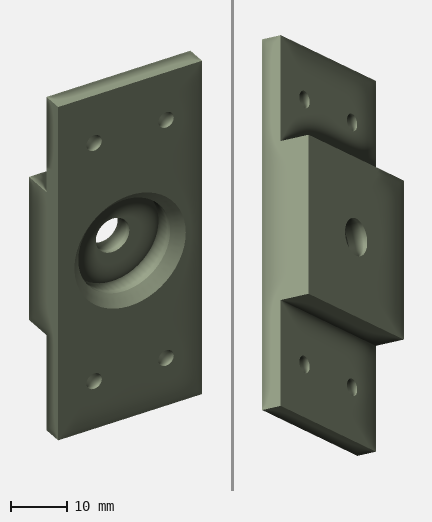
import cadquery as cq

length = 70.0
width = 30.0
total_depth = 10.0
plate_thickness = 4.0

block_size = width
block_depth = total_depth - plate_thickness

bore_diameter = 7.0
screw_hole_diameter = 3.2
screw_spacing_y = width / 2
screw_spacing_z = (length + block_size) / 2

recess_diameter = 19.2
recess_depth = 6.0
recess_chamfer = 2.0

back_x = total_depth / 2


def cylinder_from_back(diameter, depth, y=0, z=0):
    """Cylinder along X that starts at the back face and runs towards -X."""
    return (
        cq.Workplane("YZ", origin=(back_x, y, z))
        .circle(diameter / 2)
        .extrude(-depth)
    )


plate = cq.Workplane("XY").box(plate_thickness, width, length)
plate = plate.translate((back_x - plate_thickness / 2, 0, 0))

block = cq.Workplane("XY").box(block_depth, width, block_size)
block = block.translate((-back_x + block_depth / 2, 0, 0))

result = plate.union(block)
result = result.cut(cylinder_from_back(bore_diameter, total_depth))
result = result.cut(cylinder_from_back(recess_diameter, recess_depth))

recess_radius = recess_diameter / 2
lead_in = (
    cq.Workplane("YZ", origin=(back_x, 0, 0))
    .circle(recess_radius + recess_chamfer)
    .workplane(offset=-recess_chamfer)
    .circle(recess_radius)
    .loft()
)
result = result.cut(lead_in)

for y in (-screw_spacing_y / 2, screw_spacing_y / 2):
    for z in (-screw_spacing_z / 2, screw_spacing_z / 2):
        result = result.cut(cylinder_from_back(screw_hole_diameter, plate_thickness, y, z))